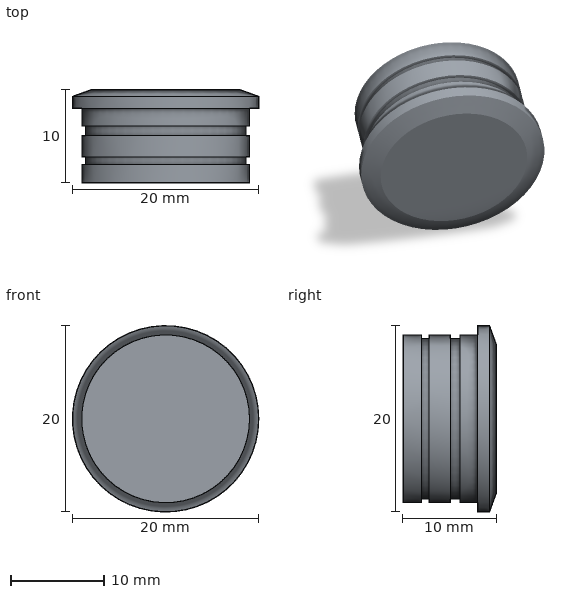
import cadquery as cq

flange_diameter = 20.0
body_diameter = 18.0
groove_diameter = 17.25
total_length = 10.0
flange_thickness = 2.0
bevel_radial = 2.0
bevel_axial = 0.72

end_land = 2.0
end_groove_width = 0.8
middle_land = 2.28
flange_groove_width = 1.02

body_length = total_length - flange_thickness
flange_groove_start = end_land + end_groove_width + middle_land


def disc(diameter, start, length):
    """Solid cylinder on the Y axis, growing toward +Y from start."""
    plane = cq.Workplane("XZ", origin=(0, start, 0))
    return plane.circle(diameter / 2).extrude(-length)


def groove(start, width):
    """Ring to remove from the body to leave a square groove."""
    return disc(body_diameter, start, width).cut(disc(groove_diameter, start, width))


body = disc(body_diameter, 0, body_length)
body = body.cut(groove(end_land, end_groove_width))
body = body.cut(groove(flange_groove_start, flange_groove_width))

flange_radius = flange_diameter / 2
bevel_start = total_length - bevel_axial
flange = (
    cq.Workplane("XY")
    .moveTo(0, body_length)
    .lineTo(flange_radius, body_length)
    .lineTo(flange_radius, bevel_start)
    .lineTo(flange_radius - bevel_radial, total_length)
    .lineTo(0, total_length)
    .close()
    .revolve(360, (0, 0, 0), (0, 1, 0))
)

result = body.union(flange)